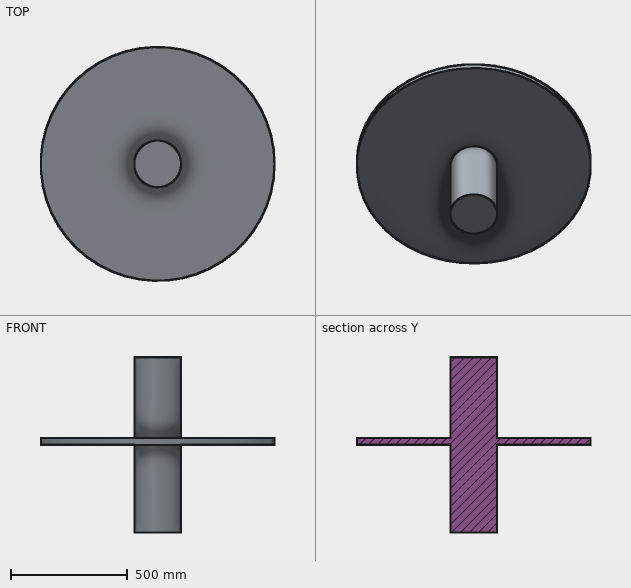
import cadquery as cq

disc_diameter = 1000.0
disc_thickness = 30.0
shaft_diameter = 200.0
shaft_length = 750.0

shaft_bottom = -shaft_length / 2


def make_disc():
    """Flat round disc standing on the XY plane."""
    return cq.Workplane("XY").circle(disc_diameter / 2).extrude(disc_thickness)


def make_shaft():
    """Solid round shaft running through the disc along Z."""
    base = cq.Workplane("XY").workplane(offset=shaft_bottom)
    return base.circle(shaft_diameter / 2).extrude(shaft_length)


result = make_disc().union(make_shaft())